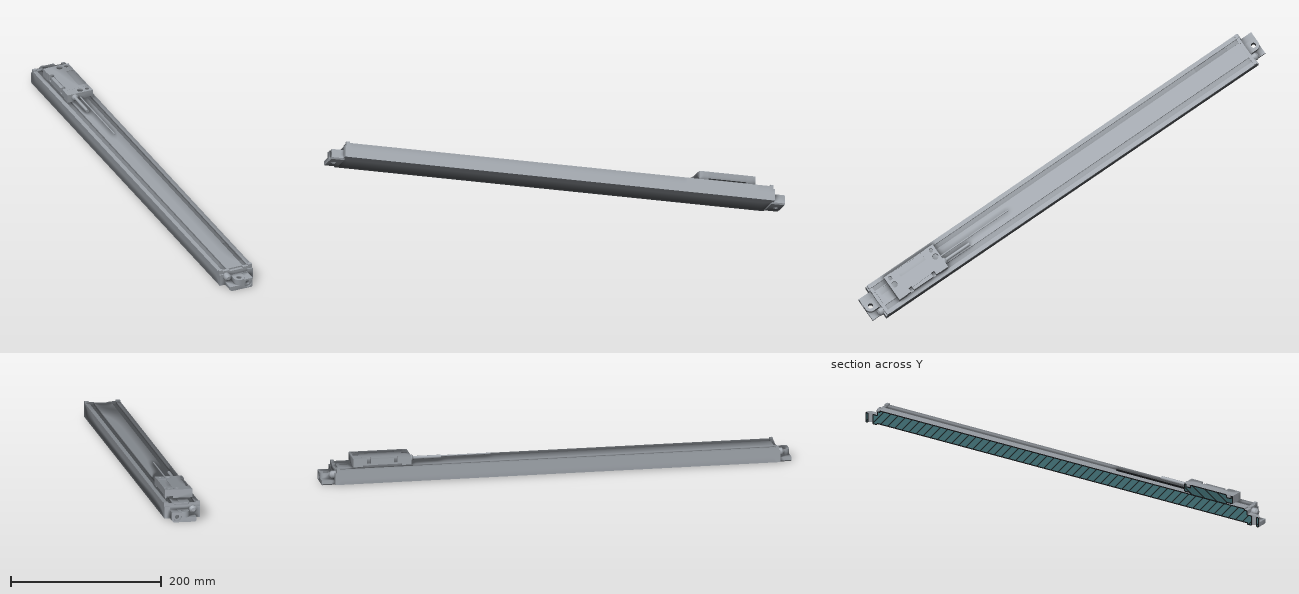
import cadquery as cq

TOTAL_LENGTH = 634.0
TOTAL_HEIGHT = 35.0
RAIL_LENGTH = 597.0
RAIL_WIDTH = 48.0
RAIL_BOTTOM = 2.0
RAIL_TOP = 21.5

CHANNEL_OUTER_Y = 18.5
TRACK_BACK_Y = 12.0
TRACK_FRONT_Y = -11.5
CHANNEL_DEPTH = 2.5

LABEL_DEPTH = 0.5
CHANNEL_LABEL_X = (225.0, 276.5)
TRACK_LABEL_X = (-290.0, -272.5)
TRACK_LABEL_Y = (2.5, 10.0)

CAP_LENGTH = 4.5
CAP_TOP = 23.5
CAP_NOTCH_Y = (-9.0, 11.0)
CAP_NOTCH_DEPTH = 2.0

PLATE_THICKNESS = 2.0
PLATE_TOP = 18.0

FOOT_WIDTH = 33.0
FOOT_TOP = 14.0
FOOT_LEDGE_TOP = 6.5
FOOT_FLANK_DROP = 0.5
FOOT_EDGE_CHAMFER = 2.0
LOBE_RADIUS = 7.5
MOUNT_HOLE_DIAMETER = 7.0
PORT_Y = 9.5
PORT_Z = 7.0
PORT_DIAMETER = 6.0
PORT_SINK_DIAMETER = 11.0
PORT_SINK_DEPTH = 2.0
PORT_DEPTH = 6.5

PLUG_Y = -14.0
PLUG_Z = 14.0
PLUG_RADIUS = 5.0
PLUG_LENGTH = 8.0
PLUG_CHAMFER = 2.5

SLIDER_START = -275.0
SLIDER_LENGTH = 78.5
SLIDER_WIDTH = 36.0
SLIDER_BOTTOM = 25.5
END_BLOCK_LENGTH = 12.5
END_BLOCK_WIDTH = 37.0
END_BLOCK_BOTTOM = 23.5
END_BLOCK_DROP = 0.1
BLOCK_RELIEF_Y = (7.5, 16.5)
BLOCK_RELIEF_TOP = 26.0
SHOE_WIDTH = 29.0
SHOE_INSET = 10.0
SLIDER_LABEL_LENGTH = 40.5
SLIDER_LABEL_Y = (6.5, 17.0)

SCREW_DEPTH = 4.0
LARGE_SCREW_Y = 2.5
LARGE_SCREW_DIAMETER = 8.0
SMALL_SCREW_Y = 12.5
SMALL_SCREW_DIAMETER = 6.0

LEDGE_LENGTH = 41.0
LEDGE_WIDTH = 4.5
LEDGE_DROP = 1.0
POCKET_LENGTH = 5.0
POCKET_WIDTH = 6.0
POCKET_BOTTOM = 26.5

CABLE_Y = -8.0
CABLE_Z = 30.0
CABLE_RADIUS = 2.2
CABLE_LENGTH = 41.0
GROMMET_RADIUS = 4.5
GROMMET_LENGTH = 4.0
GROMMET_CHAMFER = 2.0
WIRE_Y = 0.0
WIRE_Z = 28.0
WIRE_RADIUS = 0.95
WIRE_LENGTH = 109.5

rail_end = RAIL_LENGTH / 2
foot_end = TOTAL_LENGTH / 2
slider_end = SLIDER_START + SLIDER_LENGTH
slider_middle = (SLIDER_START + slider_end) / 2
channel_floor = RAIL_TOP - CHANNEL_DEPTH


def box(x_range, y_range, z_range):
    """Box between the two given limits on each axis."""
    (x0, x1), (y0, y1), (z0, z1) = x_range, y_range, z_range
    return cq.Workplane("XY").box(x1 - x0, y1 - y0, z1 - z0, centered=False).translate((x0, y0, z0))


def rod(start_x, length, y, z, radius):
    """Round rod along +X."""
    return cq.Workplane("YZ", origin=(start_x, y, z)).circle(radius).extrude(length)


def make_rail():
    """Rail between the end caps: a solid section with a low channel on both sides of the track."""
    half_width = RAIL_WIDTH / 2
    back = [
        (half_width, RAIL_BOTTOM),
        (half_width, RAIL_TOP),
        (CHANNEL_OUTER_Y, RAIL_TOP),
        (CHANNEL_OUTER_Y, channel_floor),
        (TRACK_BACK_Y, channel_floor),
        (TRACK_BACK_Y, RAIL_TOP),
    ]
    front = [
        (TRACK_FRONT_Y, RAIL_TOP),
        (TRACK_FRONT_Y, channel_floor),
        (-CHANNEL_OUTER_Y, channel_floor),
        (-CHANNEL_OUTER_Y, RAIL_TOP),
        (-half_width, RAIL_TOP),
        (-half_width, RAIL_BOTTOM),
    ]
    half_length = rail_end - CAP_LENGTH
    rail = (
        cq.Workplane("YZ", origin=(-half_length, 0, 0))
        .polyline(back + front)
        .close()
        .extrude(2 * half_length)
    )
    channel_label = box(
        CHANNEL_LABEL_X, (TRACK_BACK_Y, CHANNEL_OUTER_Y), (channel_floor - LABEL_DEPTH, channel_floor)
    )
    track_label = box(TRACK_LABEL_X, TRACK_LABEL_Y, (RAIL_TOP - LABEL_DEPTH, RAIL_TOP))
    return rail.cut(channel_label).cut(track_label)


def make_end_cap():
    """Cap at the +X end: closes the channels and stands up as an ear on each side wall."""
    half_width = RAIL_WIDTH / 2
    x_range = (rail_end - CAP_LENGTH, rail_end)
    cap = box(x_range, (-half_width, half_width), (RAIL_BOTTOM, CAP_TOP))
    ear_gap = box(x_range, (-CHANNEL_OUTER_Y, CHANNEL_OUTER_Y), (RAIL_TOP, CAP_TOP))
    notch = box(x_range, CAP_NOTCH_Y, (RAIL_TOP - CAP_NOTCH_DEPTH, RAIL_TOP))
    return cap.cut(ear_gap).cut(notch)


def make_end_plate():
    """Full-width plate on the +X cap, cut down to the foot's height across the foot."""
    x_range = (rail_end, rail_end + PLATE_THICKNESS)
    plate = box(x_range, (-RAIL_WIDTH / 2, RAIL_WIDTH / 2), (RAIL_BOTTOM, PLATE_TOP))
    return plate.cut(box(x_range, (-FOOT_WIDTH / 2, FOOT_WIDTH / 2), (FOOT_TOP, PLATE_TOP)))


def make_foot():
    """Foot at the +X end: a lobe around the mounting hole, a low front ledge and a cable port."""
    half_width = FOOT_WIDTH / 2
    lobe_x = foot_end - LOBE_RADIUS
    x_range = (rail_end, foot_end)
    foot = box(x_range, (-half_width, half_width), (0, FOOT_LEDGE_TOP))
    foot = foot.edges("|X and <Z").chamfer(FOOT_EDGE_CHAMFER)
    back_flank = box(x_range, (0, half_width), (FOOT_LEDGE_TOP, FOOT_TOP - FOOT_FLANK_DROP))
    lobe = (
        box((rail_end, lobe_x), (-LOBE_RADIUS, LOBE_RADIUS), (0, FOOT_TOP))
        .union(cq.Workplane("XY").center(lobe_x, 0).circle(LOBE_RADIUS).extrude(FOOT_TOP))
    )
    mount_hole = (
        cq.Workplane("XY").center(lobe_x, 0).circle(MOUNT_HOLE_DIAMETER / 2).extrude(FOOT_TOP)
    )
    port_sink = rod(foot_end - PORT_SINK_DEPTH, PORT_SINK_DEPTH, PORT_Y, PORT_Z, PORT_SINK_DIAMETER / 2)
    port = rod(foot_end - PORT_DEPTH, PORT_DEPTH, PORT_Y, PORT_Z, PORT_DIAMETER / 2)
    return foot.union(back_flank).union(lobe).cut(mount_hole).cut(port_sink).cut(port)


def make_plug():
    """Round plug with a chamfered tip, standing out of the +X end cap."""
    return rod(rail_end, PLUG_LENGTH, PLUG_Y, PLUG_Z, PLUG_RADIUS).faces(">X").chamfer(PLUG_CHAMFER)


def make_housing():
    """Rail with the same end cap, end plate, foot and plug mirrored to both ends."""
    end = make_end_cap().union(make_end_plate()).union(make_foot()).union(make_plug())
    return make_rail().union(end).union(end.mirror("YZ")).clean()


def cut_screw_holes(slider):
    """A large and a small blind screw hole in the middle of each end block."""
    top = TOTAL_HEIGHT - END_BLOCK_DROP
    for x in (SLIDER_START + END_BLOCK_LENGTH / 2, slider_end - END_BLOCK_LENGTH / 2):
        for y, diameter in ((LARGE_SCREW_Y, LARGE_SCREW_DIAMETER), (SMALL_SCREW_Y, SMALL_SCREW_DIAMETER)):
            hole = cq.Workplane("XY", origin=(x, y, top)).circle(diameter / 2).extrude(-SCREW_DEPTH)
            slider = slider.cut(hole)
    return slider


def cut_side_ledge(slider):
    """Stepped ledge along the -Y side, with a deeper open pocket at each of its ends."""
    front = -SLIDER_WIDTH / 2
    start = slider_middle - LEDGE_LENGTH / 2
    end = slider_middle + LEDGE_LENGTH / 2
    ledge = box((start, end), (front, front + LEDGE_WIDTH), (TOTAL_HEIGHT - LEDGE_DROP, TOTAL_HEIGHT))
    slider = slider.cut(ledge)
    for x in (start, end - POCKET_LENGTH):
        pocket = box((x, x + POCKET_LENGTH), (front, front + POCKET_WIDTH), (POCKET_BOTTOM, TOTAL_HEIGHT))
        slider = slider.cut(pocket)
    return slider


def make_slider():
    """Slider riding on the track, with an end block at each end and two cables leaving on +X."""
    half_width = SLIDER_WIDTH / 2
    block_starts = (SLIDER_START, slider_end - END_BLOCK_LENGTH)
    slider = box(
        (SLIDER_START + END_BLOCK_LENGTH, slider_end - END_BLOCK_LENGTH),
        (-half_width, half_width),
        (SLIDER_BOTTOM, TOTAL_HEIGHT),
    )
    for x in block_starts:
        block = box(
            (x, x + END_BLOCK_LENGTH),
            (-END_BLOCK_WIDTH / 2, END_BLOCK_WIDTH / 2),
            (END_BLOCK_BOTTOM, TOTAL_HEIGHT - END_BLOCK_DROP),
        )
        relief = box((x, x + END_BLOCK_LENGTH), BLOCK_RELIEF_Y, (END_BLOCK_BOTTOM, BLOCK_RELIEF_TOP))
        slider = slider.union(block.cut(relief))
    shoe = box(
        (SLIDER_START + SHOE_INSET, slider_end - SHOE_INSET),
        (-SHOE_WIDTH / 2, SHOE_WIDTH / 2),
        (RAIL_TOP, SLIDER_BOTTOM),
    )
    label = box(
        (slider_middle - SLIDER_LABEL_LENGTH / 2, slider_middle + SLIDER_LABEL_LENGTH / 2),
        SLIDER_LABEL_Y,
        (TOTAL_HEIGHT - LABEL_DEPTH, TOTAL_HEIGHT),
    )
    slider = cut_side_ledge(cut_screw_holes(slider.union(shoe).cut(label)))
    grommet = rod(slider_end, GROMMET_LENGTH, CABLE_Y, CABLE_Z, GROMMET_RADIUS)
    grommet = grommet.faces(">X").chamfer(GROMMET_CHAMFER)
    cable = rod(slider_end, CABLE_LENGTH, CABLE_Y, CABLE_Z, CABLE_RADIUS)
    wire = rod(slider_end, WIRE_LENGTH, WIRE_Y, WIRE_Z, WIRE_RADIUS)
    return slider.union(grommet).union(cable).union(wire)


housing = make_housing()
slider = make_slider()

result = cq.Compound.makeCompound([housing.solids().val(), slider.solids().val()])